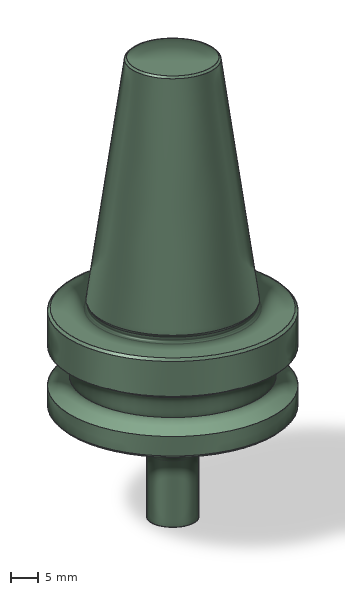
import cadquery as cq
import math


gauge_diameter = 31.75
taper_ratio = 7 / 24
shank_length = 48.4
shank_chamfer = 0.4
taper_bottom_z = -0.4

neck_diameter = 31.3
neck_fillet = 0.6
neck_top_z = -0.9

flange_diameter = 45.98
flange_top_z = -2.0
flange_bottom_z = -22.0
flange_edge_chamfer = 0.5
groove_diameter = 38.0
groove_center_z = -13.55
groove_floor_width = 4.0
groove_wall_angle = 27.0

nose_diameter = 9.6
nose_bottom_z = -44.0
underside_angle = 15.3
nose_fillet = 5.0


def taper_radius(z):
    """Radius of the taper at height z; it narrows upwards."""
    return (gauge_diameter - taper_ratio * z) / 2


def make_body():
    """Revolve the half profile of the holder about Z."""
    flange_radius = flange_diameter / 2
    flange_face_radius = flange_radius - flange_edge_chamfer
    neck_radius = neck_diameter / 2
    nose_radius = nose_diameter / 2
    shank_chamfer_z = shank_length - shank_chamfer

    slope = math.radians(underside_angle)
    fillet_center_r = nose_radius + nose_fillet
    cone_tangent_r = fillet_center_r - nose_fillet * math.sin(slope)
    cone_tangent_z = flange_bottom_z - (flange_face_radius - cone_tangent_r) * math.tan(slope)
    nose_top_z = cone_tangent_z - nose_fillet * math.cos(slope)
    nose_mid_angle = (math.pi / 2 - slope) / 2
    nose_mid = (
        fillet_center_r - nose_fillet * math.cos(nose_mid_angle),
        nose_top_z + nose_fillet * math.sin(nose_mid_angle),
    )

    neck_fillet_z = flange_top_z + neck_fillet
    neck_fillet_r = neck_radius + neck_fillet
    neck_mid = (
        neck_fillet_r - neck_fillet * math.cos(math.pi / 4),
        neck_fillet_z - neck_fillet * math.sin(math.pi / 4),
    )

    profile = (
        cq.Workplane("XZ")
        .moveTo(0, nose_bottom_z)
        .lineTo(nose_radius, nose_bottom_z)
        .lineTo(nose_radius, nose_top_z)
        .threePointArc(nose_mid, (cone_tangent_r, cone_tangent_z))
        .lineTo(flange_face_radius, flange_bottom_z)
        .lineTo(flange_radius, flange_bottom_z + flange_edge_chamfer)
        .lineTo(flange_radius, flange_top_z - flange_edge_chamfer)
        .lineTo(flange_face_radius, flange_top_z)
        .lineTo(neck_fillet_r, flange_top_z)
        .threePointArc(neck_mid, (neck_radius, neck_fillet_z))
        .lineTo(neck_radius, neck_top_z)
        .lineTo(taper_radius(taper_bottom_z), taper_bottom_z)
        .lineTo(taper_radius(shank_chamfer_z), shank_chamfer_z)
        .lineTo(taper_radius(shank_chamfer_z) - shank_chamfer, shank_length)
        .lineTo(0, shank_length)
        .close()
    )
    return profile.revolve(360, (0, 0), (0, 1))


def make_groove_ring():
    """Ring of material removed by the V groove around the flange."""
    floor_radius = groove_diameter / 2
    rim_radius = flange_diameter / 2
    floor_half = groove_floor_width / 2
    rim_half = floor_half + (rim_radius - floor_radius) * math.tan(math.radians(groove_wall_angle))
    profile = cq.Workplane("XZ").polyline(
        [
            (floor_radius, groove_center_z - floor_half),
            (rim_radius, groove_center_z - rim_half),
            (rim_radius, groove_center_z + rim_half),
            (floor_radius, groove_center_z + floor_half),
        ]
    ).close()
    return profile.revolve(360, (0, 0), (0, 1))


result = make_body().cut(make_groove_ring())